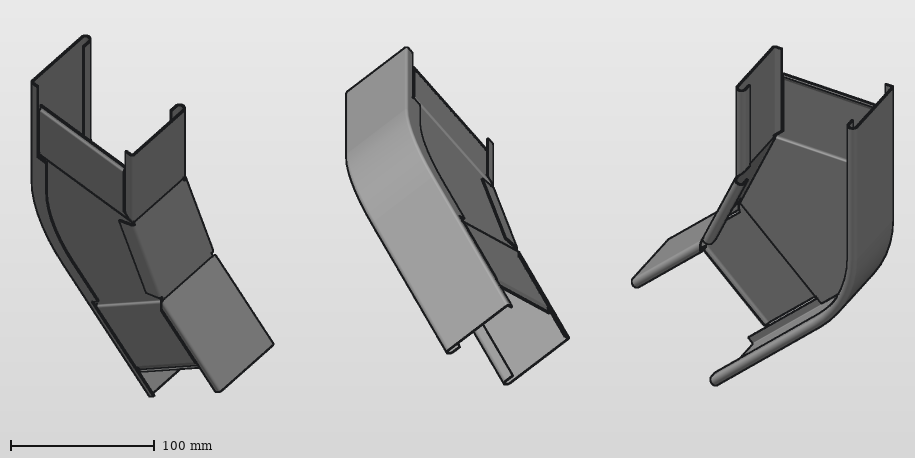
import cadquery as cq
import math


HEIGHT = 268.5
DEPTH = 57.0
WIDTH = 96.0
SHEET = 1.2
BEND_ANGLE = 45.0
BEND_RADIUS = 100.0

EDGE_RADIUS = 2.0
LIP_WIDTH = 6.7
FLANGE_WIDTH = 14.8
HOOK_WIDTH = 7.5
HOOK_LENGTH = 9.5

FLANGE_START = 82.0
INNER_CORNER = 78.6
TONGUE_START = 20.7
GROOVE_BOTTOM = 22.3
GROOVE_SIDE = 24.7
GROOVE_END = 26.3
STEP_START = 76.8
STEP_MIDDLE = 78.5
STEP_END = 79.2

GROOVE_DEPTH = 1.5
TONGUE_INSET = 8.5
PLATE_INSET = 2.1
FLARE_GAP = 1.0
FLANGE_INSET = 2.5

half_angle = math.radians(BEND_ANGLE / 2)
bend = math.radians(BEND_ANGLE)
ARM_LENGTH = (HEIGHT - BEND_RADIUS * math.sin(bend)) / (1 + math.cos(bend))

bend_centre = cq.Vector(BEND_RADIUS, 0, 0)
along_middle = cq.Vector(math.sin(half_angle), 0, -math.cos(half_angle))
inward_from_middle = cq.Vector(-math.cos(half_angle), 0, -math.sin(half_angle))


def mirrored(shape):
    """Copy of an upper arm feature, placed on the lower arm."""
    return shape.mirror(along_middle, bend_centre)


def mirrored_point(point):
    """Mirror image of an (x, z) point of the upper half."""
    offset = cq.Vector(point[0], 0, point[1]) - bend_centre
    image = bend_centre + offset - along_middle * (2 * offset.dot(along_middle))
    return (image.x, image.z)


def from_end(distance):
    """Height of a place on the upper arm, given its distance from the arm's end."""
    return ARM_LENGTH - distance


def front_plane(y):
    """Plane parallel to XZ at the given depth, extruding toward +Y (its local y is -Z)."""
    return cq.Plane(origin=(0, y, 0), xDir=(1, 0, 0), normal=(0, 1, 0))


def prism(points, y_start, y_end):
    """Extrude an outline of (x, z) points along Y."""
    outline = [(x, -z) for x, z in points]
    return cq.Workplane(front_plane(y_start)).polyline(outline).close().extrude(y_end - y_start)


def wall_section(plane, lip_width):
    """Wall cross section: local x runs inward from the outer face and local y runs along Y."""
    hook_radius = HOOK_WIDTH / 2
    hook_centre_y = DEPTH - hook_radius
    inner_edge_radius = EDGE_RADIUS - SHEET
    edge_mid = EDGE_RADIUS * (1 - math.sqrt(0.5))
    inner_edge_mid = EDGE_RADIUS - inner_edge_radius * math.sqrt(0.5)
    return (
        cq.Workplane(plane)
        .moveTo(lip_width, 0)
        .lineTo(EDGE_RADIUS, 0)
        .threePointArc((edge_mid, edge_mid), (0, EDGE_RADIUS))
        .lineTo(0, hook_centre_y)
        .threePointArc((hook_radius, DEPTH), (HOOK_WIDTH, hook_centre_y))
        .lineTo(HOOK_WIDTH, DEPTH - HOOK_LENGTH)
        .lineTo(HOOK_WIDTH - SHEET, DEPTH - HOOK_LENGTH)
        .lineTo(HOOK_WIDTH - SHEET, hook_centre_y)
        .threePointArc((hook_radius, DEPTH - SHEET), (SHEET, hook_centre_y))
        .lineTo(SHEET, EDGE_RADIUS)
        .threePointArc((inner_edge_mid, inner_edge_mid), (EDGE_RADIUS, SHEET))
        .lineTo(lip_width, SHEET)
        .close()
    )


def outer_wall_plane(z):
    """Plane across the upper arm at a height z, with its origin on the outer wall."""
    return cq.Plane(origin=(0, 0, z), xDir=(1, 0, 0), normal=(0, 0, 1))


def make_outer_wall():
    """Two straight arms joined by a round bend, with a wide front flange around the bend."""
    flange_z = from_end(FLANGE_START)
    lip_part = wall_section(outer_wall_plane(flange_z), LIP_WIDTH).extrude(FLANGE_START)
    flange_part = wall_section(outer_wall_plane(0), FLANGE_WIDTH).extrude(flange_z)
    arm = flange_part.union(lip_part)
    bend_part = wall_section(outer_wall_plane(0), FLANGE_WIDTH).revolve(
        BEND_ANGLE, (BEND_RADIUS, 0), (BEND_RADIUS, -1)
    )
    return arm.union(bend_part).union(mirrored(arm))


corner = (WIDTH, from_end(INNER_CORNER))
corner_offset = cq.Vector(corner[0], 0, corner[1]) - bend_centre
MIDDLE_LENGTH = -2 * corner_offset.dot(along_middle)


def make_inner_wall():
    """Two arms and an oblique middle, whose lips and hooks stop short at the two corners."""
    upper_plane = cq.Plane(origin=(WIDTH, 0, ARM_LENGTH), xDir=(-1, 0, 0), normal=(0, 0, -1))
    arm = wall_section(upper_plane, LIP_WIDTH).extrude(INNER_CORNER)
    mitre = prism(
        [corner, (corner[0] - HOOK_WIDTH, corner[1]), (corner[0] - HOOK_WIDTH, corner[1] + HOOK_WIDTH)],
        0,
        DEPTH,
    )
    arm = arm.cut(mitre)

    middle_start = cq.Vector(corner[0], 0, corner[1]) + along_middle * FLANGE_INSET
    middle_plane = cq.Plane(origin=middle_start, xDir=inward_from_middle, normal=along_middle)
    middle = wall_section(middle_plane, FLANGE_WIDTH).extrude(MIDDLE_LENGTH - 2 * FLANGE_INSET)

    inside_corner = (corner[0] - SHEET, corner[1] - SHEET * math.tan(half_angle / 2))
    upper_points = [inside_corner, (WIDTH - SHEET, ARM_LENGTH), (WIDTH, ARM_LENGTH), corner]
    lower_points = [mirrored_point(p) for p in upper_points[::-1]]
    web = prism(upper_points + lower_points, EDGE_RADIUS, DEPTH - HOOK_WIDTH / 2)
    return web.union(arm).union(mirrored(arm)).union(middle)


def make_tongue():
    """Upper tongue of the base plate: a groove near its free end and a step at its root."""
    root = STEP_END + SHEET
    step_mid_y = SHEET * (STEP_MIDDLE - STEP_START) / (STEP_END - STEP_START)
    side_depth = GROOVE_DEPTH / 2
    bend_mid = ((GROOVE_END + GROOVE_SIDE) / 2, side_depth / 4)
    bottom_mid = ((GROOVE_SIDE + GROOVE_BOTTOM) / 2, GROOVE_DEPTH - side_depth / 4)
    along_arm = cq.Plane(origin=(0, 0, ARM_LENGTH), xDir=(0, 0, -1), normal=(1, 0, 0))

    sheet = (
        cq.Workplane(along_arm)
        .moveTo(root, SHEET)
        .lineTo(STEP_END, SHEET)
        .tangentArcPoint((STEP_MIDDLE, step_mid_y), relative=False)
        .tangentArcPoint((STEP_START, 0), relative=False)
        .lineTo(GROOVE_END, 0)
        .threePointArc(bend_mid, (GROOVE_SIDE, side_depth))
        .threePointArc(bottom_mid, (GROOVE_BOTTOM, GROOVE_DEPTH))
        .lineTo(TONGUE_START, side_depth)
        .lineTo(TONGUE_START, side_depth + SHEET)
        .lineTo(GROOVE_BOTTOM, GROOVE_DEPTH + SHEET)
        .threePointArc((bottom_mid[0], bottom_mid[1] + SHEET), (GROOVE_SIDE, side_depth + SHEET))
        .threePointArc((bend_mid[0], bend_mid[1] + SHEET), (GROOVE_END, SHEET))
        .lineTo(STEP_START, SHEET)
        .tangentArcPoint((STEP_MIDDLE, step_mid_y + SHEET), relative=False)
        .tangentArcPoint((STEP_END, 2 * SHEET), relative=False)
        .lineTo(root, 2 * SHEET)
        .close()
        .extrude(WIDTH)
    )

    flare_base = from_end(INNER_CORNER + FLARE_GAP)
    outline = prism(
        [
            (TONGUE_INSET, ARM_LENGTH),
            (WIDTH - TONGUE_INSET, ARM_LENGTH),
            (WIDTH - TONGUE_INSET, flare_base + TONGUE_INSET),
            (WIDTH - PLATE_INSET, flare_base + PLATE_INSET),
            (WIDTH - PLATE_INSET, from_end(root)),
            (TONGUE_INSET, from_end(root)),
        ],
        0,
        DEPTH,
    )
    return sheet.intersect(outline)


def make_base_plate():
    """Middle part that lies behind the wide flanges, with a tongue reaching into each arm."""
    top_z = from_end(STEP_END)
    plate_radius = BEND_RADIUS - PLATE_INSET
    arc_mid = bend_centre + inward_from_middle * plate_radius
    top_outer = (PLATE_INSET, top_z)
    bend_start = (PLATE_INSET, 0)
    top_inner = (WIDTH - PLATE_INSET, top_z)

    def local(point):
        return (point[0], -point[1])

    middle = (
        cq.Workplane(front_plane(SHEET))
        .moveTo(*local(top_outer))
        .lineTo(*local(bend_start))
        .threePointArc((arc_mid.x, -arc_mid.z), local(mirrored_point(bend_start)))
        .lineTo(*local(mirrored_point(top_outer)))
        .lineTo(*local(mirrored_point(top_inner)))
        .lineTo(*local(top_inner))
        .close()
        .extrude(SHEET)
    )
    tongue = make_tongue()
    return middle.union(tongue).union(mirrored(tongue))


outer_wall = make_outer_wall()
inner_wall = make_inner_wall()
base_plate = make_base_plate()

result = cq.Compound.makeCompound([outer_wall.val(), inner_wall.val(), base_plate.val()])